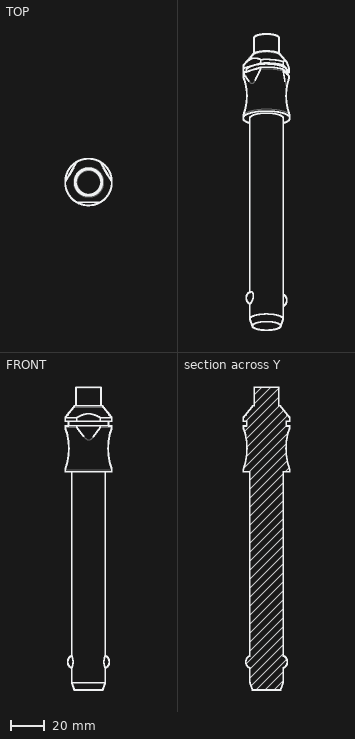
import cadquery as cq
import math


shank_radius = 10.0
shank_length = 130.0
tip_radius = 8.5
tip_chamfer_height = 4.3

ball_radius = 4.0
ball_reach = 12.5
ball_height_above_tip = 16.8

handle_radius = 14.0
waist_radius = 11.75
rim_height = 1.4
lip_bottom = 26.5
groove_bottom = 27.5
groove_top = 30.1
groove_radius = 12.0
cone_bottom = 32.3
cone_top = 38.6
collar_top = 39.5
collar_base_radius = 8.9
collar_top_radius = 8.25
waist_height = (rim_height + lip_bottom) / 2

button_radius = 7.5
button_top = 50.56
button_edge_round = 0.5

flat_count = 3
flat_distance = handle_radius * math.cos(math.radians(30))
first_flat_angle = -90.0


def make_shank():
    shank = cq.Workplane("XY").circle(shank_radius).extrude(-shank_length)
    shank_to_tip = shank_radius - tip_radius
    return shank.faces("<Z").chamfer(tip_chamfer_height, shank_to_tip)


def make_handle():
    """Revolve the waisted grip, its groove, the cone above it and the tapered collar round the button."""
    profile = (
        cq.Workplane("XZ")
        .moveTo(0, 0)
        .lineTo(handle_radius, 0)
        .lineTo(handle_radius, rim_height)
        .threePointArc((waist_radius, waist_height), (handle_radius, lip_bottom))
        .lineTo(handle_radius, groove_bottom)
        .lineTo(groove_radius, groove_bottom)
        .lineTo(groove_radius, groove_top)
        .lineTo(handle_radius, groove_top)
        .lineTo(handle_radius, cone_bottom)
        .lineTo(collar_base_radius, cone_top)
        .lineTo(collar_top_radius, collar_top)
        .lineTo(0, collar_top)
        .close()
    )
    return profile.revolve(360, (0, 0, 0), (0, 1, 0))


def cut_grip_flats(handle):
    """Cut flats evenly round the upper handle, running out into the waist curve."""
    cutter_height = collar_top - waist_height
    for index in range(flat_count):
        angle = first_flat_angle + index * 360 / flat_count
        cutter = (
            cq.Workplane("XY")
            .box(handle_radius, 2 * handle_radius, cutter_height, centered=(False, True, False))
            .translate((flat_distance, 0, waist_height))
            .rotate((0, 0, 0), (0, 0, 1), angle)
        )
        handle = handle.cut(cutter)
    return handle


def make_button():
    button = cq.Workplane("XY").circle(button_radius).extrude(button_top)
    return button.faces(">Z").edges().fillet(button_edge_round)


def make_ball(side):
    """Locking ball on the +X (side = 1) or -X (side = -1) side of the shank."""
    center_x = side * (ball_reach - ball_radius)
    center_z = ball_height_above_tip - shank_length
    return cq.Workplane("XY").sphere(ball_radius).translate((center_x, 0, center_z))


result = make_shank().union(cut_grip_flats(make_handle())).union(make_button())
for side in (-1, 1):
    result = result.union(make_ball(side))